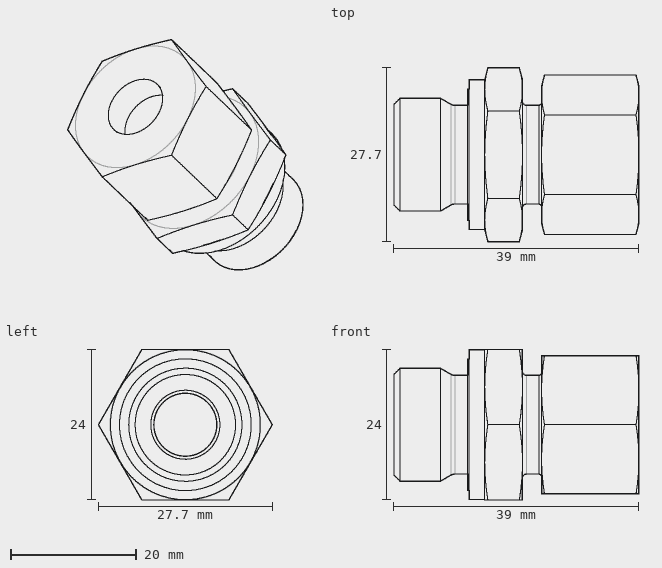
import cadquery as cq
import math


THREAD_END = 7.4
SEAL_FRONT = 11.75
NECK_CONE_START = 11.85
COLLAR_FRONT = 11.97
SEAL_BACK = 13.0
HEX_FRONT = 14.45
HEX_BACK = 20.48
STUB_CONE_START = 23.13
NUT_FRONT = 23.5
FITTING_LENGTH = 39.0

THREAD_RADIUS = 9.0
NECK_RADIUS = 7.88
COLLAR_RADIUS = 11.95
END_CHAMFER = 1.0
BODY_HEX_WIDTH = 24.0
BORE_RADIUS = 5.0
BORE_CHAMFER = 0.5
HEX_FILLET = 0.62
STUB_DEPTH = 10.15

RELIEF_ANGLE = math.radians(30)
RELIEF_ARC_RADIUS = 1.25
RELIEF_ARC_LENGTH = RELIEF_ARC_RADIUS * math.sin(RELIEF_ANGLE)
RELIEF_ARC_RISE = RELIEF_ARC_RADIUS * (1 - math.cos(RELIEF_ANGLE))
RELIEF_CONE_RISE = THREAD_RADIUS - NECK_RADIUS - RELIEF_ARC_RISE
RELIEF_CONE_LENGTH = RELIEF_CONE_RISE / math.tan(RELIEF_ANGLE)

SEAL_RADIUS = 10.5
SEAL_INNER_RADIUS = 8.58
NECK_CONE_ANGLE = math.radians(60)
NECK_CONE_LENGTH = (SEAL_INNER_RADIUS - NECK_RADIUS) / math.tan(NECK_CONE_ANGLE)

NUT_HEX_WIDTH = 22.0

CORNER_ANGLE = math.radians(15)


def revolve_about_x(profile):
    """Turn a closed profile of (axial position, radius) about the X axis."""
    return profile.close().revolve(360, (0, 0, 0), (1, 0, 0))


def cylinder(start, end, radius):
    return cq.Workplane("YZ", origin=(start, 0, 0)).circle(radius).extrude(end - start)


def chamfered_hexagon(start, end, width):
    """Hexagonal prism with corners at +Y and -Y, both ends turned to a cone."""
    flat_radius = width / 2
    corner_radius = flat_radius / math.cos(math.pi / 6)
    drop = (corner_radius - flat_radius) * math.tan(CORNER_ANGLE)
    prism = cq.Workplane("YZ", origin=(start, 0, 0)).polygon(6, 2 * corner_radius).extrude(end - start)
    envelope = revolve_about_x(
        cq.Workplane("XY")
        .moveTo(start, 0)
        .lineTo(start, flat_radius)
        .lineTo(start + drop, corner_radius)
        .lineTo(end - drop, corner_radius)
        .lineTo(end, flat_radius)
        .lineTo(end, 0)
    )
    return prism.intersect(envelope)


def make_turned_body():
    """Stud thread, necks, collar and stub, as one solid of revolution."""
    cone_end = THREAD_END + RELIEF_CONE_LENGTH
    neck_start = cone_end + RELIEF_ARC_LENGTH
    arc_middle = (
        neck_start - RELIEF_ARC_RADIUS * math.sin(RELIEF_ANGLE / 2),
        NECK_RADIUS + RELIEF_ARC_RADIUS * (1 - math.cos(RELIEF_ANGLE / 2)),
    )
    stub_cone_length = (THREAD_RADIUS - NECK_RADIUS) / math.tan(RELIEF_ANGLE)
    stub_end = NUT_FRONT + STUB_DEPTH
    return revolve_about_x(
        cq.Workplane("XY")
        .moveTo(0, 0)
        .lineTo(0, THREAD_RADIUS - END_CHAMFER)
        .lineTo(END_CHAMFER, THREAD_RADIUS)
        .lineTo(THREAD_END, THREAD_RADIUS)
        .lineTo(cone_end, NECK_RADIUS + RELIEF_ARC_RISE)
        .threePointArc(arc_middle, (neck_start, NECK_RADIUS))
        .lineTo(NECK_CONE_START, NECK_RADIUS)
        .lineTo(NECK_CONE_START + NECK_CONE_LENGTH, SEAL_INNER_RADIUS)
        .lineTo(SEAL_BACK, SEAL_INNER_RADIUS)
        .lineTo(SEAL_BACK, SEAL_RADIUS)
        .lineTo(COLLAR_FRONT, SEAL_RADIUS)
        .lineTo(COLLAR_FRONT, COLLAR_RADIUS)
        .lineTo(HEX_BACK, COLLAR_RADIUS)
        .lineTo(HEX_BACK, NECK_RADIUS + HEX_FILLET)
        .radiusArc((HEX_BACK + HEX_FILLET, NECK_RADIUS), -HEX_FILLET)
        .lineTo(STUB_CONE_START, NECK_RADIUS)
        .lineTo(STUB_CONE_START + stub_cone_length, THREAD_RADIUS)
        .lineTo(stub_end, THREAD_RADIUS)
        .lineTo(stub_end, 0)
    )


def make_through_bore():
    """Cutter for the bore, with its chamfered mouth at the stud end."""
    return revolve_about_x(
        cq.Workplane("XY")
        .moveTo(0, 0)
        .lineTo(0, BORE_RADIUS + BORE_CHAMFER)
        .lineTo(BORE_CHAMFER, BORE_RADIUS)
        .lineTo(FITTING_LENGTH, BORE_RADIUS)
        .lineTo(FITTING_LENGTH, 0)
    )


def make_seal():
    outer = cylinder(SEAL_FRONT, SEAL_BACK, SEAL_RADIUS)
    return outer.cut(cylinder(SEAL_FRONT, SEAL_BACK, SEAL_INNER_RADIUS))


def make_body():
    """Turned body with its hexagon and the through bore."""
    hexagon = chamfered_hexagon(HEX_FRONT, HEX_BACK, BODY_HEX_WIDTH)
    return make_turned_body().union(hexagon).cut(make_through_bore())


def make_nut():
    """Union nut with a recess for the stub and the through bore behind it."""
    nut = chamfered_hexagon(NUT_FRONT, FITTING_LENGTH, NUT_HEX_WIDTH)
    recess = cylinder(NUT_FRONT, NUT_FRONT + STUB_DEPTH, THREAD_RADIUS)
    return nut.cut(recess).cut(make_through_bore())


seal = make_seal()
body = make_body()
nut = make_nut()

result = cq.Compound.makeCompound([body.val(), seal.val(), nut.val()])